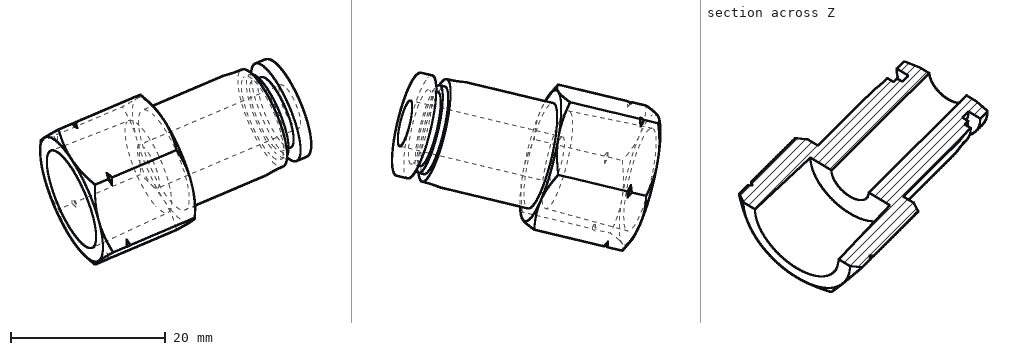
import cadquery as cq
import math

total_length = 31.95
hex_length = 13.5
shell_straight_end = 25.43
shell_end = 27.95
collar_end = 28.7
neck_end = 29.9
cap_rim_end = 31.37

hex_across_flats = 17.45
hex_across_corners = hex_across_flats / math.cos(math.pi / 6)
corner_radius = hex_across_corners / 2
face_radius = hex_across_flats / 2
chamfer_angle = math.radians(30)
chamfer_length = (corner_radius - face_radius) * math.tan(chamfer_angle)

groove_position = 3.0
groove_depth = 0.45
groove_half_width = 0.3

shell_radius = 7.03
shell_tip_radius = 6.85
collar_radius = 5.85
neck_radius = 4.95
cap_radius = 6.87
cap_flat_radius = 4.6
cap_rounding_width = 0.15
cap_rounding_height = 0.2

socket_mouth_radius = 6.85
socket_floor_radius = 6.5
thread_taper = 1 / 16
socket_depth = 2 * (socket_mouth_radius - socket_floor_radius) / thread_taper
bore_radius = 3.05


def revolve_about_y(profile):
    """Turn a closed (radius, length) profile around the Y axis."""
    return profile.close().revolve(360, (0, 0, 0), (0, 1, 0))


def nut():
    """Hexagon with both ends chamfered and its corners nicked by a V groove."""
    hexagon = (
        cq.Workplane("XZ")
        .polygon(6, hex_across_corners)
        .extrude(-hex_length)
    )
    envelope = revolve_about_y(
        cq.Workplane("XY")
        .moveTo(0, 0)
        .lineTo(face_radius, 0)
        .lineTo(corner_radius, chamfer_length)
        .lineTo(corner_radius, groove_position - groove_half_width)
        .lineTo(corner_radius - groove_depth, groove_position)
        .lineTo(corner_radius, groove_position + groove_half_width)
        .lineTo(corner_radius, hex_length - chamfer_length)
        .lineTo(face_radius, hex_length)
        .lineTo(0, hex_length)
    )
    return hexagon.intersect(envelope)


def turned_body():
    """Round shell with a concave tapered tip, collar, neck and crowned release cap."""
    tip_middle = (shell_straight_end + shell_end) / 2
    tip_middle_radius = shell_tip_radius + (shell_radius - shell_tip_radius) / 4
    return revolve_about_y(
        cq.Workplane("XY")
        .moveTo(0, 0)
        .lineTo(shell_radius, 0)
        .lineTo(shell_radius, shell_straight_end)
        .threePointArc((tip_middle_radius, tip_middle), (shell_tip_radius, shell_end))
        .lineTo(collar_radius, shell_end)
        .lineTo(collar_radius, collar_end)
        .lineTo(neck_radius, collar_end)
        .lineTo(neck_radius, neck_end)
        .lineTo(cap_radius, neck_end)
        .lineTo(cap_radius, cap_rim_end)
        .tangentArcPoint((-cap_rounding_width, cap_rounding_height))
        .lineTo(cap_flat_radius, total_length)
        .lineTo(0, total_length)
    )


def passage():
    """Tapered socket that opens into a straight bore through the cap."""
    return revolve_about_y(
        cq.Workplane("XY")
        .moveTo(0, 0)
        .lineTo(socket_mouth_radius, 0)
        .lineTo(socket_floor_radius, socket_depth)
        .lineTo(bore_radius, socket_depth)
        .lineTo(bore_radius, total_length)
        .lineTo(0, total_length)
    )


result = nut().union(turned_body()).cut(passage())